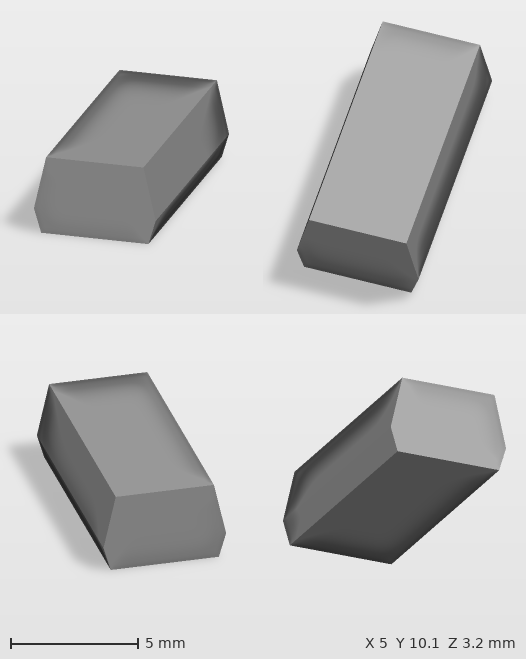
import cadquery as cq

length = 10.1
height = 3.2
waist_width = 5.0
top_width = 4.0
base_width = 4.4
waist_height = 1.0

profile = (
    cq.Workplane("XZ")
    .moveTo(-base_width / 2, 0)
    .lineTo(base_width / 2, 0)
    .lineTo(waist_width / 2, waist_height)
    .lineTo(top_width / 2, height)
    .lineTo(-top_width / 2, height)
    .lineTo(-waist_width / 2, waist_height)
    .close()
)

result = profile.extrude(length / 2, both=True)